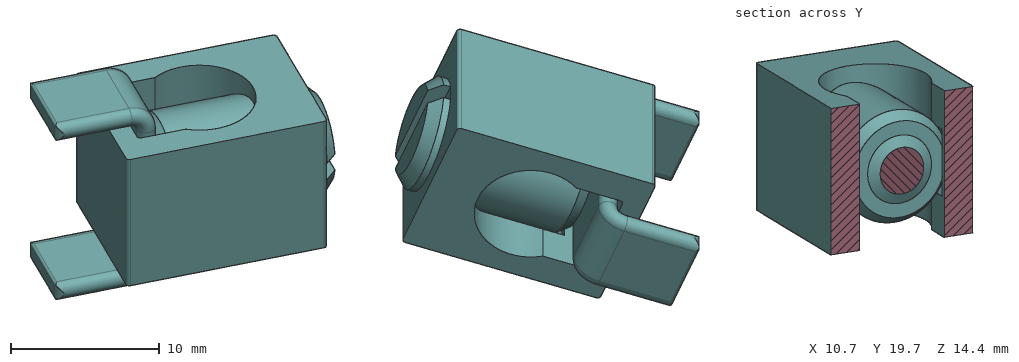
import cadquery as cq
import math

HOUSING_WIDTH = 10.69
HOUSING_HEIGHT = 10.35
HOUSING_FRONT_Y = -5.69
HOUSING_BACK_Y = 8.52
HOUSING_EDGE_RADIUS = 0.25

WIRE_HOLE_DIAMETER = 7.6
WIRE_HOLE_Y = 1.28
SLOT_WIDTH = 6.38
SLOT_CORNER_RADIUS = 0.25
SLOT_CLEARANCE = 0.18

SCREW_DIAMETER = 7.93
SCREW_HEAD_Y = 9.84
HEAD_CHAMFER = 0.83
DRIVE_SLOT_WIDTH = 1.32
SHOULDER_DIAMETER = 6.79
SHOULDER_Y = -2.35
SHOULDER_TAPER_LENGTH = 0.77
TIP_BASE_DIAMETER = 4.8
TIP_END_DIAMETER = 3.3

CLIP_WIDTH = 6.0
CLIP_THICKNESS = 1.3
CLIP_HEIGHT = 14.35
CLIP_FRONT_Y = -9.84
CLIP_BACK_Y = -2.7
BEND_INNER_RADIUS = 0.53
TAB_CORNER_RADIUS = 0.55
TAB_EDGE_RADIUS = 0.18

HOUSING_LENGTH = HOUSING_BACK_Y - HOUSING_FRONT_Y
SLOT_FRONT_Y = CLIP_BACK_Y - CLIP_THICKNESS - SLOT_CLEARANCE


def y_revolve(profile_points):
    """Solid of revolution about the Y axis from (radius, y) points."""
    return cq.Workplane("XY").polyline(profile_points).close().revolve(360, (0, 0), (0, 1))


def make_housing():
    block = (
        cq.Workplane("XY")
        .center(0, (HOUSING_FRONT_Y + HOUSING_BACK_Y) / 2)
        .box(HOUSING_WIDTH, HOUSING_LENGTH, HOUSING_HEIGHT)
        .edges("|Z")
        .fillet(HOUSING_EDGE_RADIUS)
    )
    wire_hole = (
        cq.Workplane("XY")
        .center(0, WIRE_HOLE_Y)
        .circle(WIRE_HOLE_DIAMETER / 2)
        .extrude(HOUSING_HEIGHT / 2, both=True)
    )
    slot = (
        cq.Workplane("XY")
        .center(0, (SLOT_FRONT_Y + WIRE_HOLE_Y) / 2)
        .box(SLOT_WIDTH, WIRE_HOLE_Y - SLOT_FRONT_Y, HOUSING_HEIGHT)
        .edges("|Z and <Y")
        .fillet(SLOT_CORNER_RADIUS)
    )
    screw_radius = SCREW_DIAMETER / 2
    screw_bore = y_revolve([
        (0, SHOULDER_Y),
        (screw_radius, SHOULDER_Y),
        (screw_radius, HOUSING_BACK_Y),
        (0, HOUSING_BACK_Y),
    ])
    return block.cut(wire_hole).cut(slot).cut(screw_bore)


def make_screw():
    screw_radius = SCREW_DIAMETER / 2
    body = y_revolve([
        (0, CLIP_BACK_Y),
        (TIP_END_DIAMETER / 2, CLIP_BACK_Y),
        (TIP_BASE_DIAMETER / 2, SHOULDER_Y),
        (SHOULDER_DIAMETER / 2, SHOULDER_Y),
        (screw_radius, SHOULDER_Y + SHOULDER_TAPER_LENGTH),
        (screw_radius, SCREW_HEAD_Y - HEAD_CHAMFER),
        (screw_radius - HEAD_CHAMFER, SCREW_HEAD_Y),
        (0, SCREW_HEAD_Y),
    ])
    drive_slot_depth = SCREW_HEAD_Y - HOUSING_BACK_Y
    drive_slot = (
        cq.Workplane("XY")
        .center(0, SCREW_HEAD_Y - drive_slot_depth / 2)
        .box(SCREW_DIAMETER, drive_slot_depth, DRIVE_SLOT_WIDTH)
    )
    return body.cut(drive_slot)


def make_strip():
    """Full-round strip section swept along the bent centre line."""
    middle_radius = BEND_INNER_RADIUS + CLIP_THICKNESS / 2
    tab_z = (CLIP_HEIGHT - CLIP_THICKNESS) / 2
    leg_y = CLIP_BACK_Y - CLIP_THICKNESS / 2
    bend_y = leg_y - middle_radius
    bend_z = tab_z - middle_radius
    diagonal = middle_radius * math.sqrt(0.5)

    centre_line = (
        cq.Workplane("YZ")
        .moveTo(CLIP_FRONT_Y, tab_z)
        .lineTo(bend_y, tab_z)
        .threePointArc((bend_y + diagonal, bend_z + diagonal), (leg_y, bend_z))
        .lineTo(leg_y, -bend_z)
        .threePointArc((bend_y + diagonal, -bend_z - diagonal), (bend_y, -tab_z))
        .lineTo(CLIP_FRONT_Y, -tab_z)
    )
    return (
        cq.Workplane("XZ", origin=(0, CLIP_FRONT_Y, tab_z))
        .slot2D(CLIP_WIDTH, CLIP_THICKNESS)
        .sweep(centre_line)
    )


def make_tab_end_waste(tab_z):
    """Material outside the rounded corners and edges of one tab end."""
    end_block = (
        cq.Workplane("XY", origin=(0, CLIP_FRONT_Y + TAB_CORNER_RADIUS, tab_z))
        .box(CLIP_WIDTH, 2 * TAB_CORNER_RADIUS, CLIP_THICKNESS)
    )
    rounded_corners = end_block.edges("|Z and <Y").fillet(TAB_CORNER_RADIUS)
    rounded_edges = end_block.edges("|X and <Y").fillet(TAB_EDGE_RADIUS)
    return end_block.cut(rounded_corners.intersect(rounded_edges))


def make_clip():
    clip_body = make_strip()
    for side in (-1, 1):
        clip_body = clip_body.cut(make_tab_end_waste(side * (CLIP_HEIGHT - CLIP_THICKNESS) / 2))
    return clip_body


housing = make_housing()
screw = make_screw()
clip = make_clip()

result = cq.Compound.makeCompound([housing.val(), screw.val(), clip.val()])